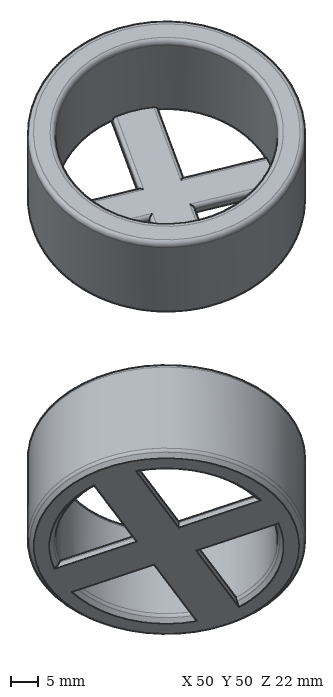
import cadquery as cq

outer_diameter = 50.0
bore_diameter = 40.0
height = 22.0
edge_radius = 1.0
bottom_chamfer = 1.1

bar_along_x_width = 8.5
bar_along_y_width = 7.0
bar_thickness = 2.0
bar_edge_radius = 0.75

overlap = 2.0
bar_length = bore_diameter + 4 * overlap
tolerance = 0.05


def make_ring():
    """Tube with rounded top edges and softened chamfers on both bottom edges."""
    ring = cq.Workplane("XY").circle(outer_diameter / 2).circle(bore_diameter / 2).extrude(height)
    ring = ring.faces(">Z").edges().fillet(edge_radius)
    ring = ring.faces("<Z").edges().chamfer(bottom_chamfer)
    wall_radii = (bore_diameter / 2, outer_diameter / 2)
    for radius in wall_radii:
        chamfer_top = cq.selectors.BoxSelector(
            (-radius - tolerance, -radius - tolerance, bottom_chamfer - tolerance),
            (radius + tolerance, radius + tolerance, bottom_chamfer + tolerance),
            boundingbox=True,
        )
        ring = ring.edges(chamfer_top).fillet(edge_radius)
    return ring


def make_cross():
    """Two crossing bars whose long upper edges are rounded and meet in mitres."""
    bar_sizes = [(bar_length, bar_along_x_width, "|X"), (bar_along_y_width, bar_length, "|Y")]
    cross = cq.Workplane("XY")
    for size_x, size_y, long_edges in bar_sizes:
        bar = cq.Workplane("XY").rect(size_x, size_y).extrude(bar_thickness)
        cross = cross.add(bar.faces(">Z").edges(long_edges).fillet(bar_edge_radius))
    return cross.combine()


def trim_to_wall(cross):
    """Round off the bar ends so that they stop inside the ring wall."""
    envelope = cq.Workplane("XY").circle(bore_diameter / 2 + overlap).extrude(height)
    return cross.intersect(envelope)


result = make_ring().union(trim_to_wall(make_cross()))